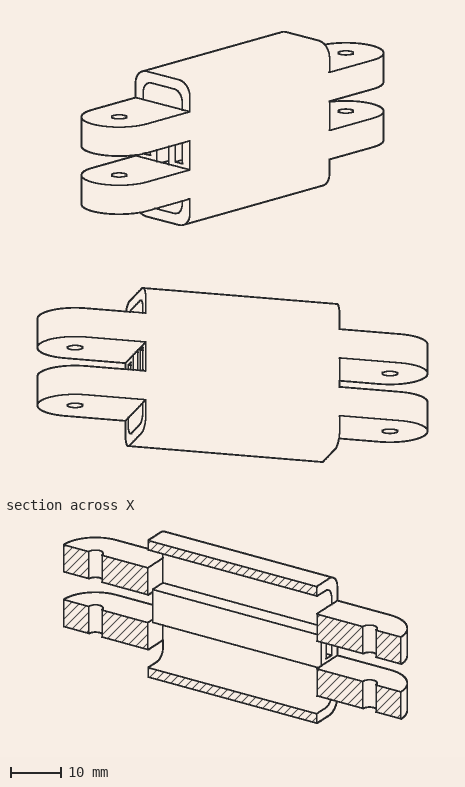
import cadquery as cq

total_length = 80.0
width = 15.0
body_length = total_length / 2
body_height = 30.0

wall = 2.2
outer_radius = 3.0
inner_radius = 2.2
cavity_width = width - 2 * wall
cavity_height = body_height - 2 * wall

tab_thickness = body_height / 5
tab_gap = tab_thickness
tab_length = (total_length - body_length) / 2
tab_radius = width / 2
pin_diameter = 3.0

slot_width = 3.2
rail_height = 7.2
channel_width = 1.9
channel_floor = -2.2
left_channel_top = 2.5
right_channel_top = 2.0


def bar_along_y(x_min, x_max, z_min, z_max):
    """Rectangular bar running the full length of the body."""
    return cq.Workplane("XY").box(
        x_max - x_min, body_length, z_max - z_min, centered=False
    ).translate((x_min, -body_length / 2, z_min))


def make_sleeve():
    """Rounded rectangular tube, open at both ends."""
    outside = cq.Workplane("XY").box(width, body_length, body_height)
    outside = outside.edges("|Y").fillet(outer_radius)
    cavity = cq.Workplane("XY").box(cavity_width, body_length, cavity_height)
    cavity = cavity.edges("|Y").fillet(inner_radius)
    return outside.cut(cavity)


def make_rail(side, channel_top):
    """Rail on one side wall (side is -1 or 1), with a channel beside the wall."""
    inner_x = side * slot_width / 2
    wall_x = side * cavity_width / 2
    channel_x = wall_x - side * channel_width
    rail = bar_along_y(min(inner_x, wall_x), max(inner_x, wall_x), -rail_height / 2, rail_height / 2)
    channel = bar_along_y(min(channel_x, wall_x), max(channel_x, wall_x), channel_floor, channel_top)
    return rail.cut(channel)


def make_tab(end, level):
    """Round-ended tab with a pin hole; end and level are -1 or 1."""
    root_y = end * body_length / 2
    pin_y = end * (total_length / 2 - tab_radius)
    tip_y = root_y + end * tab_length
    center_z = level * (tab_gap + tab_thickness) / 2
    tab = (
        cq.Workplane("XY", origin=(0, 0, center_z - tab_thickness / 2))
        .moveTo(-width / 2, root_y)
        .lineTo(-width / 2, pin_y)
        .threePointArc((0, tip_y), (width / 2, pin_y))
        .lineTo(width / 2, root_y)
        .close()
        .extrude(tab_thickness)
    )
    pin_hole = (
        cq.Workplane("XY", origin=(0, pin_y, center_z))
        .circle(pin_diameter / 2)
        .extrude(tab_thickness, both=True)
    )
    return tab.cut(pin_hole)


result = make_sleeve()
result = result.union(make_rail(-1, left_channel_top))
result = result.union(make_rail(1, right_channel_top))
for end in (-1, 1):
    for level in (-1, 1):
        result = result.union(make_tab(end, level))